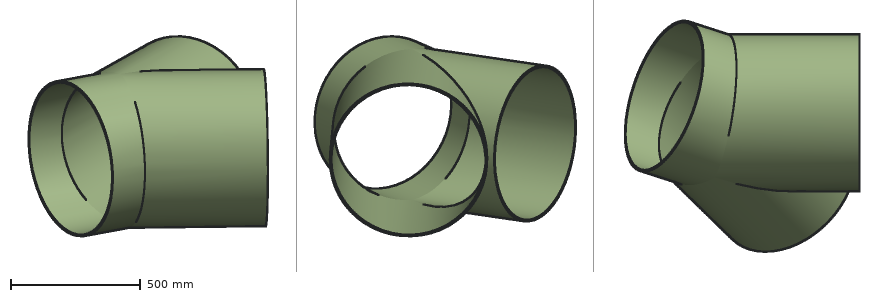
import cadquery as cq
import math

outer_diameter = 610.0
inner_diameter = 597.0
overall_width = 1087.0
overall_depth = 865.0
branch_angle = 30.0

lean = math.radians(branch_angle)
outer_radius = outer_diameter / 2
branch_end_x = overall_width / 2 - outer_radius * math.cos(lean)
branch_end_y = overall_depth - outer_radius * math.sin(lean)
branch_length = branch_end_x / math.sin(lean)
junction_y = branch_end_y - branch_length * math.cos(lean)

mitre_slope = math.tan(lean / 2)
clip_reach = overall_width
clip_height = 2 * outer_diameter


def clip_prism(points):
    """Tall prism, centred on Z = 0, used to trim a cylinder."""
    return cq.Workplane("XY").polyline(points).close().extrude(clip_height / 2, both=True)


def cylinder(diameter, length, start, direction):
    return cq.Workplane(
        cq.Solid.makeCylinder(diameter / 2, length, cq.Vector(*start), cq.Vector(*direction))
    )


def inlet(diameter):
    """Straight inlet along Y, ending on the two mitre planes."""
    mitre_edge_y = junction_y - clip_reach * mitre_slope
    below_mitres = clip_prism([
        (0, junction_y),
        (clip_reach, mitre_edge_y),
        (clip_reach, -clip_reach),
        (-clip_reach, -clip_reach),
        (-clip_reach, mitre_edge_y),
    ])
    return cylinder(diameter, junction_y, (0, 0, 0), (0, 1, 0)).intersect(below_mitres)


def right_branch(diameter):
    """Leaning branch, trimmed at the mitre plane and the symmetry plane."""
    direction = (math.sin(lean), math.cos(lean), 0)
    overrun = outer_diameter
    start = (-overrun * direction[0], junction_y - overrun * direction[1], 0)
    above_mitre = clip_prism([
        (0, junction_y),
        (clip_reach, junction_y - clip_reach * mitre_slope),
        (clip_reach, clip_reach),
        (0, clip_reach),
    ])
    return cylinder(diameter, branch_length + overrun, start, direction).intersect(above_mitre)


def wye(diameter):
    """Solid Y shape made of the inlet and two mirrored branches."""
    branch = right_branch(diameter)
    return inlet(diameter).union(branch).union(branch.mirror("YZ"))


result = wye(outer_diameter).cut(wye(inner_diameter))